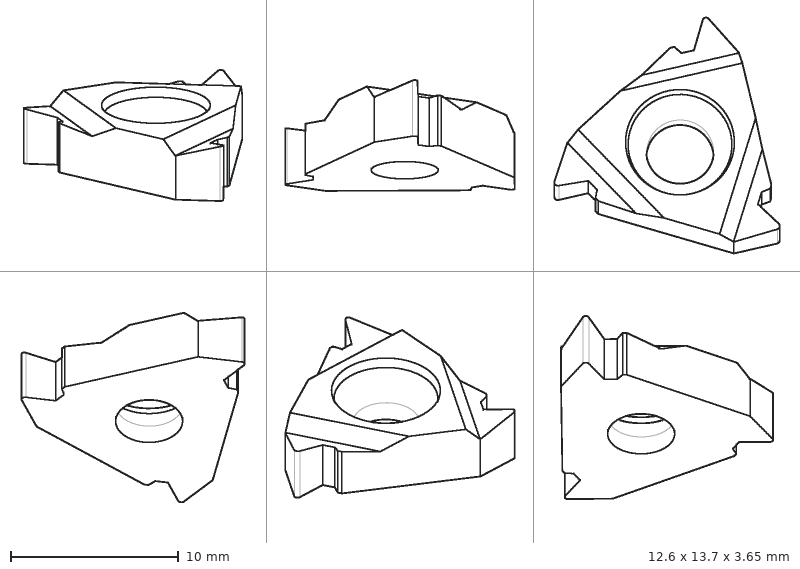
import cadquery as cq
import math

thickness = 3.65
inscribed_radius = 4.745
corner_count = 3
corner_angle = 360 / corner_count

flank_angle = 60
tooth_center_x = -3.24
tooth_tip_y = -7.184
tip_radius = 0.21
root_y = -5.50
root_end_x = -1.385
crest_y = -5.94
crest_start_x = -1.05

valley_distance = 4.765
valley_depth = 0.87
wall_angle = 45
rake_angle = 16
groove_length = 30
groove_reach = 5

bore_radius = 2.0
mouth_radius = 3.25
flare_top_radius = 3.10
cone_depth = 0.59
flare_radius = 2.0

flank_slope = math.tan(math.radians(flank_angle))


def turned(point, angle):
    """Turn a point about the insert axis by an angle in degrees."""
    cos_a = math.cos(math.radians(angle))
    sin_a = math.sin(math.radians(angle))
    x, y = point
    return (x * cos_a - y * sin_a, x * sin_a + y * cos_a)


def make_blank():
    """Insert outline: three toothed corners joined by the triangle sides."""
    tip_center_y = tooth_tip_y + tip_radius
    sharp_tip_y = tip_center_y - tip_radius / math.cos(math.radians(flank_angle))
    tangent_dx = tip_radius * math.sin(math.radians(flank_angle))
    tangent_y = tip_center_y - tip_radius * math.cos(math.radians(flank_angle))

    flank_start = (
        -inscribed_radius,
        sharp_tip_y + flank_slope * (tooth_center_x + inscribed_radius),
    )
    tip_start = (tooth_center_x - tangent_dx, tangent_y)
    tip_middle = (tooth_center_x, tooth_tip_y)
    tip_end = (tooth_center_x + tangent_dx, tangent_y)
    root_start = (tooth_center_x + (root_y - sharp_tip_y) / flank_slope, root_y)
    root_end = (root_end_x, root_y)
    crest_start = (crest_start_x, crest_y)

    side_angle = math.radians(180 + corner_angle)
    crest_end_x = (inscribed_radius - crest_y * math.sin(side_angle)) / math.cos(side_angle)
    crest_end = (crest_end_x, crest_y)

    outline = cq.Workplane("XY").moveTo(*flank_start)
    for corner in range(corner_count):
        angle = corner * corner_angle
        if corner > 0:
            outline = outline.lineTo(*turned(flank_start, angle))
        outline = outline.lineTo(*turned(tip_start, angle))
        outline = outline.threePointArc(turned(tip_middle, angle), turned(tip_end, angle))
        for point in (root_start, root_end, crest_start, crest_end):
            outline = outline.lineTo(*turned(point, angle))
    return outline.close().extrude(thickness)


def make_groove_cutter():
    """Cutter for the lower corner: a steep wall into a valley, then a rising rake face."""
    valley_z = thickness - valley_depth
    wall_top_y = -valley_distance + valley_depth / math.tan(math.radians(wall_angle))
    outer_y = -valley_distance - groove_reach
    outer_z = valley_z + groove_reach * math.tan(math.radians(rake_angle))
    return (
        cq.Workplane("YZ")
        .moveTo(wall_top_y, thickness)
        .lineTo(-valley_distance, valley_z)
        .lineTo(outer_y, outer_z)
        .lineTo(wall_top_y, outer_z)
        .close()
        .extrude(groove_length / 2, both=True)
    )


def make_hole_cutter():
    """Revolved screw hole; the flare runs tangent into the bore."""
    flare_center_r = bore_radius + flare_radius
    sweep = math.acos((flare_center_r - flare_top_radius) / flare_radius)
    flare_top_z = thickness - cone_depth
    flare_end_z = flare_top_z - flare_radius * math.sin(sweep)
    flare_middle = (
        flare_center_r - flare_radius * math.cos(sweep / 2),
        flare_end_z + flare_radius * math.sin(sweep / 2),
    )
    return (
        cq.Workplane("XZ")
        .lineTo(bore_radius, 0)
        .lineTo(bore_radius, flare_end_z)
        .threePointArc(flare_middle, (flare_top_radius, flare_top_z))
        .lineTo(mouth_radius, thickness)
        .lineTo(0, thickness)
        .close()
        .revolve(360, (0, 0, 0), (0, 1, 0))
    )


result = make_blank().cut(make_hole_cutter())
groove_cutter = make_groove_cutter()
for corner in range(corner_count):
    result = result.cut(groove_cutter.rotate((0, 0, 0), (0, 0, 1), corner * corner_angle))